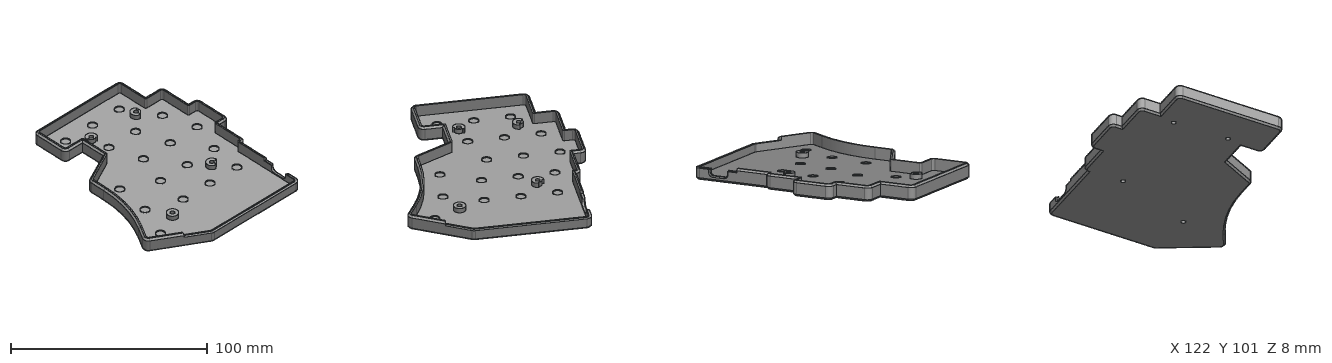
import cadquery as cq
import math

length = 122.0
width = 101.0
height = 8.0
floor_thickness = 2.0
wall = 1.8
corner_radius = 3.0
inner_fillet = 0.9
edge_chamfer = 1.0

step_x = (18.8, 38.0, 60.9, 79.9)
step_y = (83.1, 94.8, width, 94.4, 92.0)
tab_bottom_y = 21.7
tab_right_x = 23.2
notch_y = 33.9
notch_right_x = 38.2
thumb_left_x = 48.3
thumb_y = 13.9
right_side_end_y = 30.3

thumb_radius = 70.0
tip_angle = math.radians(30)

key_pitch = 19.0
first_column_x = 11.5
column_bottom_y = (33.4, 45.5, 51.5, 45.0, 42.6)
rows = 3
thumb_keys = ((59.0, 25.4), (80.2, 22.7), (99.8, 14.5))
key_recess_diameter = 5.1
key_recess_depth = 0.6

bosses = (
    (21.4, 73.8, 0, 130),
    (78.1, 72.2, 0, 90),
    (20.4, 43.0, -90, 135),
    (94.2, 28.5, 0, 0),
)
boss_diameter = 6.3
boss_relief_diameter = 4.6
boss_height = 2.6
screw_hole_diameter = 2.5

low_rim_left_x = 97.5
low_rim_front_y = 17.3
low_rim_z = 6.0
lip_thickness = 0.4
lip_height = 0.4

slot_left_x = 103.0
slot_right_x = 113.1
slot_bottom_z = 2.7
slot_corner_radius = 2.0
slot_chamfer = 0.6


def sharp_outline():
    """Outline of the case before its convex corners are rounded."""
    tip_y = corner_radius * (1 - math.cos(tip_angle) - math.sin(tip_angle))
    tip_x = length - (right_side_end_y - tip_y) * math.tan(tip_angle)
    arc_end_y = thumb_y - thumb_radius * (1 - math.cos(tip_angle))
    arc_end_x = tip_x - (arc_end_y - tip_y) / math.tan(tip_angle)
    arc_start_x = arc_end_x - thumb_radius * math.sin(tip_angle)
    half_angle = tip_angle / 2
    arc_middle = (
        arc_start_x + thumb_radius * math.sin(half_angle),
        thumb_y - thumb_radius * (1 - math.cos(half_angle)),
    )

    outline = cq.Workplane("XY").moveTo(0, tab_bottom_y).lineTo(0, step_y[0])
    for side_x, next_y in zip(step_x, step_y[1:]):
        outline = outline.hLineTo(side_x).vLineTo(next_y)
    return (
        outline.hLineTo(length)
        .vLineTo(right_side_end_y)
        .lineTo(tip_x, tip_y)
        .lineTo(arc_end_x, arc_end_y)
        .threePointArc(arc_middle, (arc_start_x, thumb_y))
        .hLineTo(thumb_left_x)
        .lineTo(notch_right_x, notch_y)
        .hLineTo(tab_right_x)
        .vLineTo(tab_bottom_y)
        .close()
    )


def rounded_prism(inset, bottom_z, top_z, concave_radius=0):
    """Prism of the outline moved inwards, with its convex and concave corners rounded."""
    corner_centres = sharp_outline().offset2D(-corner_radius, "intersection")
    profile = corner_centres.offset2D(corner_radius - inset + concave_radius, "arc")
    if concave_radius:
        profile = profile.offset2D(-concave_radius, "arc")
    return profile.extrude(top_z - bottom_z).translate((0, 0, bottom_z))


def shell():
    body = rounded_prism(0, 0, height).faces("<Z or >Z").chamfer(edge_chamfer)
    return body.cut(rounded_prism(wall, floor_thickness, height, inner_fillet))


def key_recesses():
    places = list(thumb_keys)
    for column, bottom_y in enumerate(column_bottom_y):
        for row in range(rows):
            places.append((first_column_x + column * key_pitch, bottom_y + row * key_pitch))
    return (
        cq.Workplane("XY", origin=(0, 0, floor_thickness - key_recess_depth))
        .pushPoints(places)
        .circle(key_recess_diameter / 2)
        .extrude(key_recess_depth)
    )


def boss(x, y, start, sweep):
    """Round boss; one sector is turned down to the relief diameter."""
    base = cq.Workplane("XY", origin=(x, y, floor_thickness))
    body = base.circle(boss_diameter / 2).extrude(boss_height)
    if sweep:
        angles = [math.radians(start + sweep * part / 2) for part in range(3)]
        rim = [(boss_diameter * math.cos(angle), boss_diameter * math.sin(angle)) for angle in angles]
        sector = base.lineTo(*rim[0]).threePointArc(rim[1], rim[2]).close().extrude(boss_height)
        relief_core = base.circle(boss_relief_diameter / 2).extrude(boss_height)
        body = body.cut(sector.cut(relief_core))
    return body


def screw_holes():
    return (
        cq.Workplane("XY")
        .pushPoints([(x, y) for x, y, _, _ in bosses])
        .circle(screw_hole_diameter / 2)
        .extrude(height)
    )


def low_rim_cut():
    cut = cq.Workplane("XY").box(
        length - low_rim_left_x, width - low_rim_front_y, height - low_rim_z, centered=False
    ).translate((low_rim_left_x, low_rim_front_y, low_rim_z))
    return cut.cut(rounded_prism(wall - lip_thickness, low_rim_z, low_rim_z + lip_height))


def slot_prism(grow, front_y, depth):
    """Slot open at the top, with rounded lower corners, enlarged all round by grow."""
    slot_width = slot_right_x - slot_left_x + 2 * grow
    return (
        cq.Workplane("XY", origin=(slot_left_x - grow, front_y, slot_bottom_z - grow))
        .box(slot_width, depth, height, centered=False)
        .edges("|Y and <Z")
        .fillet(slot_corner_radius + grow)
    )


def connector_slot():
    """Slot through the back wall, with a bevelled mouth on the outer face."""
    back_y = step_y[-1]
    slot = slot_prism(0, back_y - 2 * wall, 2 * wall)
    mouth = slot_prism(slot_chamfer, back_y - slot_chamfer, wall)
    return slot.union(mouth.faces("<Y").chamfer(slot_chamfer))


result = shell()
for place in bosses:
    result = result.union(boss(*place))
result = (
    result.cut(key_recesses())
    .cut(screw_holes())
    .cut(low_rim_cut())
    .cut(connector_slot())
)